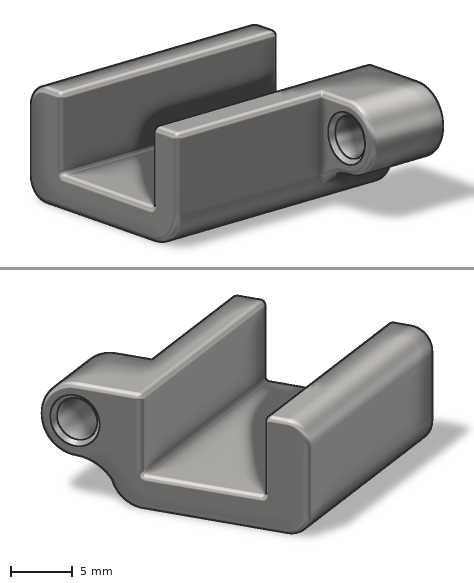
import cadquery as cq
import math

total_width = 24.2
length = 23.85
height = 10.0

body_width = 18.0
left_wall = 4.0
right_wall = 3.0
floor_thickness = 3.0
left_corner_radius = 2.0
lower_right_radius = 3.0
channel_corner_radius = 0.27

eye_length = 8.0
eye_radius = 3.2
hole_diameter = 3.6
hole_chamfer = 0.4
neck_radius = 4.0

edge_radius = 0.5
eye_root_radius = 0.2

tolerance = 0.02

channel_right = body_width - right_wall
eye_x = total_width - eye_radius
eye_z = height - eye_radius
eye_front = length - eye_length
neck_center_z = eye_z - eye_radius - neck_radius


def prism(profile, y_start, y_end):
    """Extrude an XZ profile from y_start to y_end."""
    return profile.extrude(-(y_end - y_start)).translate((0, y_start, 0))


def make_channel_body():
    block = prism(cq.Workplane("XZ").rect(body_width, height, centered=False), 0, length)
    block = block.edges("|Y and <X").fillet(left_corner_radius)
    block = block.edges("|Y and >X and <Z").fillet(lower_right_radius)
    channel_profile = (
        cq.Workplane("XZ")
        .moveTo(left_wall, floor_thickness)
        .lineTo(channel_right, floor_thickness)
        .lineTo(channel_right, height)
        .lineTo(left_wall, height)
        .close()
    )
    channel = prism(channel_profile, 0, length)
    channel = channel.edges("|Y and <Z").fillet(channel_corner_radius)
    return block.cut(channel)


def neck_point(x):
    """Point at x on the concave arc below the neck of the eye."""
    return x, neck_center_z + math.sqrt(neck_radius**2 - (eye_x - x) ** 2)


def make_eye():
    root_x = channel_right + right_wall / 2
    neck_start_x = body_width - edge_radius
    neck_start = neck_point(neck_start_x)
    profile = (
        cq.Workplane("XZ")
        .moveTo(root_x, height)
        .lineTo(eye_x, height)
        .threePointArc((total_width, eye_z), (eye_x, eye_z - eye_radius))
        .threePointArc(neck_point((eye_x + neck_start_x) / 2), neck_start)
        .lineTo(root_x, neck_start[1])
        .close()
    )
    return prism(profile, eye_front, length)


def make_hole_cutter():
    bore = cq.Workplane("XZ").center(eye_x, eye_z).circle(hole_diameter / 2)
    return prism(bore, eye_front, length)


def round_outer_edges(part):
    """Round both end faces, the eye front and the long top edges except the round left corner."""
    eye_front_edges = cq.selectors.BoxSelector(
        (body_width + tolerance, eye_front - tolerance, 0),
        (total_width + tolerance, eye_front + tolerance, height + tolerance),
    )
    top_edges = cq.selectors.BoxSelector(
        (left_wall - tolerance, 0, height - tolerance),
        (body_width + tolerance, length, height + tolerance),
    )
    edges = part.faces("<Y or >Y").edges()
    edges = edges.add(part.edges(eye_front_edges))
    edges = edges.add(part.edges("|Y").edges(top_edges))
    return edges.fillet(edge_radius)


def round_eye_root(part):
    """Fill the inside corner between the right wall and the eye front, up to the mitred top edges."""
    root_edge = cq.selectors.BoxSelector(
        (body_width - tolerance, eye_front - tolerance, lower_right_radius),
        (body_width + tolerance, eye_front + tolerance, height),
    )
    return part.edges(root_edge).fillet(eye_root_radius)


def chamfer_hole_rims(part):
    """Chamfer the hole rims, the only edges centred on the hole axis."""
    hole_rims = cq.selectors.BoxSelector(
        (eye_x - tolerance, eye_front - tolerance, eye_z - tolerance),
        (eye_x + tolerance, length + tolerance, eye_z + tolerance),
    )
    return part.edges("%CIRCLE").edges(hole_rims).chamfer(hole_chamfer)


part = make_channel_body().union(make_eye())
part = round_outer_edges(part)
part = round_eye_root(part)
part = part.cut(make_hole_cutter())
result = chamfer_hole_rims(part)